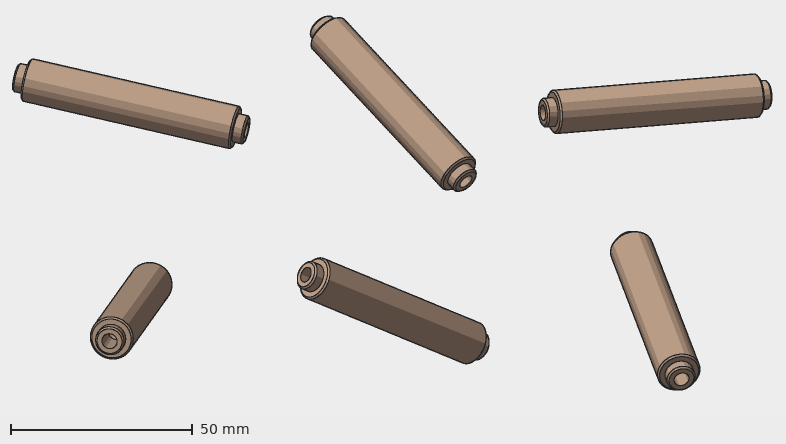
import cadquery as cq
import math

total_length = 66.0
body_diameter = 12.0
journal_diameter = 8.0
body_length = 60.0
edge_chamfer = 0.5

hole_diameter = 4.2
hole_depth = 9.9
drill_point_angle = 118.0


def centred_cylinder(diameter, length):
    """Cylinder along X, centred on the origin, with both end edges chamfered."""
    return (
        cq.Workplane("YZ", origin=(-length / 2, 0, 0))
        .circle(diameter / 2)
        .extrude(length)
        .faces("<X or >X")
        .chamfer(edge_chamfer)
    )


def drilled_hole():
    """Cutter for the hole in the -X end: straight bore with a conical bottom."""
    radius = hole_diameter / 2
    point_length = radius / math.tan(math.radians(drill_point_angle / 2))
    end_x = -total_length / 2
    bottom_x = end_x + hole_depth
    return (
        cq.Workplane("XY")
        .moveTo(end_x, 0)
        .lineTo(end_x, radius)
        .lineTo(bottom_x, radius)
        .lineTo(bottom_x + point_length, 0)
        .close()
        .revolve(360, (0, 0, 0), (1, 0, 0))
    )


body = centred_cylinder(body_diameter, body_length)
journals = centred_cylinder(journal_diameter, total_length)
hole = drilled_hole()

result = body.union(journals).cut(hole).cut(hole.mirror("YZ"))